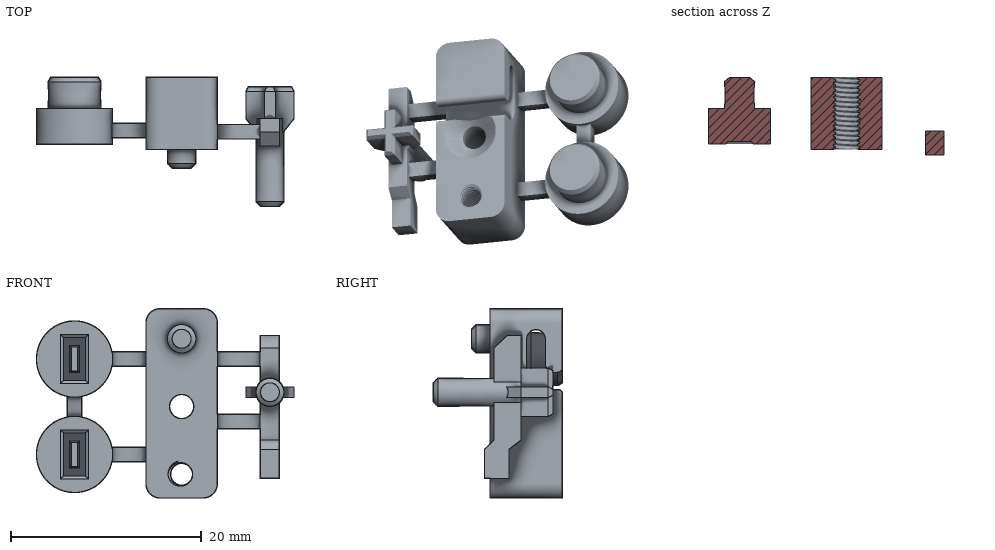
import cadquery as cq


HOUSING_WIDTH = 7.5
HOUSING_DEPTH = 7.6
HOUSING_HEIGHT = 19.85
HOUSING_CORNER_RADIUS = 1.5
HOLE_PITCH = 7.1
MID_HOLE_Z = -0.34
MID_HOLE_DIAMETER = 2.5
COUNTERSINK_DIAMETER = 5.6
PEG_DIAMETER = 2.98
PEG_LENGTH = 1.95
PIN_TIP_CHAMFER = 0.5

THREAD_MINOR_DIAMETER = 2.27
THREAD_MAJOR_DIAMETER = 2.85
THREAD_PITCH = 0.5
THREAD_GROOVE_SHARE = 0.9
THREAD_OVERLAP = 0.05
THREAD_RUNOUT = 2 * THREAD_PITCH

SLOT_FRONT_Y = 3.85
SLOT_WIDTH = 1.96
SLOT_TOP_Z = 7.7
SLOT_FLOOR_Z = 1.43
FINGER_END_Z = 3.25
FINGER_OUTER_RADIUS = 0.5
FINGER_INNER_RADIUS = 0.9
SLOT_FLOOR_EDGE_RADIUS = 0.4

PLUG_X = -11.22
PLUG_Z = 4.64
PLUG_PITCH = 10.0
HEAD_DIAMETER = 8.0
HEAD_FRONT_Y = 0.57
HEAD_LENGTH = 3.75
SHANK_DIAMETER = 5.6
SHANK_WAIST_DIAMETER = 5.48
SHANK_TIP_INSET = 0.3
SHANK_TIP_LENGTH = 0.5
SOCKET_WIDTH = 2.9
SOCKET_HEIGHT = 5.1
SOCKET_BEVEL = 0.3
SOCKET_DEPTH = 4.0
TONGUE_WIDTH = 1.03
TONGUE_HEIGHT = 2.86
TONGUE_TIP_INSET = 0.19

LATCH_LEFT_X = 8.21
LATCH_WIDTH = 2.04
LATCH_TOP_Z = 7.11
LATCH_BOTTOM_Z = -7.87
LATCH_FRONT_Y = 0.41
LATCH_BACK_Y = 3.25
LATCH_TOP_FRONT_Y = 1.83
LATCH_SLOPE_END_Z = 5.79
LATCH_JOG_TOP_Z = -3.86
LATCH_JOG_BOTTOM_Z = -4.84
LATCH_FOOT_FRONT_Y = -0.57
LATCH_FOOT_BACK_Y = 1.98

PIN_X = 9.25
PIN_Z = 1.16
PIN_TIP_DIAMETER = 2.98
PIN_ROOT_DIAMETER = 2.9
PIN_FRONT_Y = -5.95
CROSS_BACK_Y = 6.6
CROSS_SPAN = 5.06
CROSS_THICKNESS = 1.14
CROSS_TIP_LENGTH = 0.5
CROSS_TIP_INSET = 0.25
CROSS_TAPER_SLOPE = 0.8
CROSS_ROOT_SPAN = 2.4

BAR_SIZE = 1.53
PLUG_BAR_Y = 2.01
LINK_BAR_Y = 2.98
LATCH_BAR_Y = 1.88
LATCH_BAR_LOWER_Z = -1.91
BAR_OVERLAP = 0.3


def facing_back(x, y, z):
    """Sketch plane at a point; extrusions run toward +Y."""
    return cq.Workplane(cq.Plane(origin=(x, y, z), xDir=(1, 0, 0), normal=(0, 1, 0)))


def facing_front(x, y, z):
    """Sketch plane at a point; extrusions run toward -Y."""
    return cq.Workplane("XZ", origin=(x, y, z))


def box_between(x_range, y_range, z_range):
    sizes = [high - low for low, high in (x_range, y_range, z_range)]
    corner = (x_range[0], y_range[0], z_range[0])
    return cq.Workplane("XY").box(*sizes, centered=False).translate(corner)


def around(centre, size):
    return (centre - size / 2, centre + size / 2)


def round_pin(x, z, back_y, length, root_diameter, tip_diameter):
    """Pin pointing to -Y with a chamfered tip."""
    pin = (
        facing_front(x, back_y, z)
        .circle(root_diameter / 2)
        .workplane(offset=length)
        .circle(tip_diameter / 2)
        .loft()
    )
    return pin.faces("<Y").chamfer(PIN_TIP_CHAMFER)


def hook_slot():
    """Slot with a round top that turns to the back face at its lower end."""
    back_y = SLOT_FRONT_Y + SLOT_WIDTH
    arch_radius = SLOT_WIDTH / 2
    arch_z = SLOT_TOP_Z - arch_radius
    floor_radius = SLOT_WIDTH
    outline = (
        cq.Workplane("YZ", origin=(-HOUSING_WIDTH / 2, 0, 0))
        .moveTo(HOUSING_DEPTH, SLOT_FLOOR_Z - SLOT_FLOOR_EDGE_RADIUS)
        .radiusArc((HOUSING_DEPTH - SLOT_FLOOR_EDGE_RADIUS, SLOT_FLOOR_Z), -SLOT_FLOOR_EDGE_RADIUS)
        .lineTo(SLOT_FRONT_Y + floor_radius, SLOT_FLOOR_Z)
        .radiusArc((SLOT_FRONT_Y, SLOT_FLOOR_Z + floor_radius), floor_radius)
        .lineTo(SLOT_FRONT_Y, arch_z)
        .threePointArc((SLOT_FRONT_Y + arch_radius, SLOT_TOP_Z), (back_y, arch_z))
        .lineTo(back_y, FINGER_END_Z + FINGER_INNER_RADIUS)
        .radiusArc((back_y + FINGER_INNER_RADIUS, FINGER_END_Z), -FINGER_INNER_RADIUS)
        .lineTo(HOUSING_DEPTH - FINGER_OUTER_RADIUS, FINGER_END_Z)
        .radiusArc((HOUSING_DEPTH, FINGER_END_Z + FINGER_OUTER_RADIUS), -FINGER_OUTER_RADIUS)
        .close()
    )
    return outline.extrude(HOUSING_WIDTH)


def countersunk_hole():
    radius = MID_HOLE_DIAMETER / 2
    countersink_depth = COUNTERSINK_DIAMETER / 2 - radius
    hole = facing_back(0, 0, MID_HOLE_Z).circle(radius).extrude(HOUSING_DEPTH)
    countersink = (
        facing_back(0, HOUSING_DEPTH - countersink_depth, MID_HOLE_Z)
        .circle(radius)
        .workplane(offset=countersink_depth)
        .circle(COUNTERSINK_DIAMETER / 2)
        .loft()
    )
    return hole.union(countersink)


def threaded_hole():
    """Through hole with a helical V groove, deepest on the -X side at the front face."""
    minor_radius = THREAD_MINOR_DIAMETER / 2
    inner = minor_radius - THREAD_OVERLAP
    half_width = THREAD_PITCH * THREAD_GROOVE_SHARE / 2
    length = HOUSING_DEPTH + 2 * THREAD_RUNOUT
    helix = cq.Wire.makeHelix(THREAD_PITCH, length, inner)
    groove = (
        cq.Workplane("XZ")
        .moveTo(inner, -half_width)
        .lineTo(THREAD_MAJOR_DIAMETER / 2, 0)
        .lineTo(inner, half_width)
        .close()
        .sweep(cq.Workplane(obj=helix), isFrenet=True)
    )
    core = cq.Workplane("XY", origin=(0, 0, -THREAD_RUNOUT)).circle(minor_radius)
    hole = groove.union(core.extrude(length + 2 * THREAD_RUNOUT))
    hole = hole.rotate((0, 0, 0), (1, 0, 0), -90)
    hole = hole.rotate((0, 0, 0), (0, 1, 0), 180)
    return hole.translate((0, -THREAD_RUNOUT, MID_HOLE_Z - HOLE_PITCH))


def housing():
    body = facing_back(0, 0, 0).rect(HOUSING_WIDTH, HOUSING_HEIGHT).extrude(HOUSING_DEPTH)
    body = body.edges("|Y").fillet(HOUSING_CORNER_RADIUS)
    body = body.cut(hook_slot()).cut(countersunk_hole()).cut(threaded_hole())
    peg = round_pin(0, MID_HOLE_Z + HOLE_PITCH, 0, PEG_LENGTH, PEG_DIAMETER, PEG_DIAMETER)
    return body.union(peg)


def plug(z):
    """Turned plug with a bevelled socket that holds a tapered tongue."""
    head_back = HEAD_FRONT_Y + HEAD_LENGTH
    shank_end = HOUSING_DEPTH - SHANK_TIP_LENGTH
    shank_radius = SHANK_DIAMETER / 2
    turned = (
        cq.Workplane("XY")
        .moveTo(0, HEAD_FRONT_Y)
        .lineTo(HEAD_DIAMETER / 2, HEAD_FRONT_Y)
        .lineTo(HEAD_DIAMETER / 2, head_back)
        .lineTo(shank_radius, head_back)
        .threePointArc((SHANK_WAIST_DIAMETER / 2, (head_back + shank_end) / 2), (shank_radius, shank_end))
        .lineTo(shank_radius - SHANK_TIP_INSET, HOUSING_DEPTH)
        .lineTo(0, HOUSING_DEPTH)
        .close()
        .revolve(360, (0, 0, 0), (0, 1, 0))
        .translate((PLUG_X, 0, z))
    )
    opening = facing_back(PLUG_X, HEAD_FRONT_Y, z)
    inner_width = SOCKET_WIDTH - 2 * SOCKET_BEVEL
    inner_height = SOCKET_HEIGHT - 2 * SOCKET_BEVEL
    bevel = (
        opening.rect(SOCKET_WIDTH, SOCKET_HEIGHT)
        .workplane(offset=SOCKET_BEVEL)
        .rect(inner_width, inner_height)
        .loft(ruled=True)
    )
    socket = opening.rect(inner_width, inner_height).extrude(SOCKET_DEPTH)
    tongue = (
        opening.rect(TONGUE_WIDTH - 2 * TONGUE_TIP_INSET, TONGUE_HEIGHT - 2 * TONGUE_TIP_INSET)
        .workplane(offset=SOCKET_DEPTH)
        .rect(TONGUE_WIDTH, TONGUE_HEIGHT)
        .loft(ruled=True)
    )
    return turned.cut(bevel).cut(socket).union(tongue)


def latch():
    """Flat bar with a sloped top front and a foot stepped toward the front."""
    outline = [
        (LATCH_BACK_Y, LATCH_TOP_Z),
        (LATCH_TOP_FRONT_Y, LATCH_TOP_Z),
        (LATCH_FRONT_Y, LATCH_SLOPE_END_Z),
        (LATCH_FRONT_Y, LATCH_JOG_TOP_Z),
        (LATCH_FOOT_FRONT_Y, LATCH_JOG_BOTTOM_Z),
        (LATCH_FOOT_FRONT_Y, LATCH_BOTTOM_Z),
        (LATCH_FOOT_BACK_Y, LATCH_BOTTOM_Z),
        (LATCH_FOOT_BACK_Y, LATCH_JOG_BOTTOM_Z),
        (LATCH_BACK_Y, LATCH_JOG_TOP_Z),
    ]
    return cq.Workplane("YZ", origin=(LATCH_LEFT_X, 0, 0)).polyline(outline).close().extrude(LATCH_WIDTH)


def cross_blade():
    """One blade of the cross, on the Y axis and spanning X."""
    tip_y = CROSS_BACK_Y - CROSS_TIP_LENGTH
    half_span = CROSS_SPAN / 2
    half_root = CROSS_ROOT_SPAN / 2
    root_y = LATCH_BACK_Y - (half_span - half_root) / CROSS_TAPER_SLOPE
    blade = (
        cq.Workplane("XY", origin=(0, 0, -CROSS_THICKNESS / 2))
        .polyline([
            (-half_root, root_y),
            (half_root, root_y),
            (half_span, LATCH_BACK_Y),
            (half_span, tip_y),
            (-half_span, tip_y),
            (-half_span, LATCH_BACK_Y),
        ])
        .close()
        .extrude(CROSS_THICKNESS)
    )
    tip = (
        facing_back(0, tip_y, 0)
        .rect(CROSS_SPAN, CROSS_THICKNESS)
        .workplane(offset=CROSS_TIP_LENGTH)
        .rect(CROSS_SPAN - 2 * CROSS_TIP_INSET, CROSS_THICKNESS - 2 * CROSS_TIP_INSET)
        .loft(ruled=True)
    )
    return blade.union(tip)


def cross_pin():
    pin = round_pin(0, 0, LATCH_BACK_Y, LATCH_BACK_Y - PIN_FRONT_Y, PIN_ROOT_DIAMETER, PIN_TIP_DIAMETER)
    for angle in (0, 90):
        pin = pin.union(cross_blade().rotate((0, 0, 0), (0, 1, 0), angle))
    return pin.translate((PIN_X, 0, PIN_Z))


def sprue_bars():
    housing_side = HOUSING_WIDTH / 2
    plug_edge = PLUG_X + HEAD_DIAMETER / 2
    plug_x_range = (plug_edge - BAR_OVERLAP, -housing_side + BAR_OVERLAP)
    latch_x_range = (housing_side - BAR_OVERLAP, LATCH_LEFT_X + BAR_OVERLAP)
    lower_plug_z = PLUG_Z - PLUG_PITCH
    link_z_range = (
        lower_plug_z + HEAD_DIAMETER / 2 - BAR_OVERLAP,
        PLUG_Z - HEAD_DIAMETER / 2 + BAR_OVERLAP,
    )
    bars = box_between(around(PLUG_X, BAR_SIZE), around(LINK_BAR_Y, BAR_SIZE), link_z_range)
    for z in (PLUG_Z, lower_plug_z):
        bars = bars.union(box_between(plug_x_range, around(PLUG_BAR_Y, BAR_SIZE), around(z, BAR_SIZE)))
    for z in (PLUG_Z, LATCH_BAR_LOWER_Z):
        bars = bars.union(box_between(latch_x_range, around(LATCH_BAR_Y, BAR_SIZE), around(z, BAR_SIZE)))
    return bars


result = housing()
for plug_z in (PLUG_Z, PLUG_Z - PLUG_PITCH):
    result = result.union(plug(plug_z))
result = result.union(latch()).union(cross_pin()).union(sprue_bars())